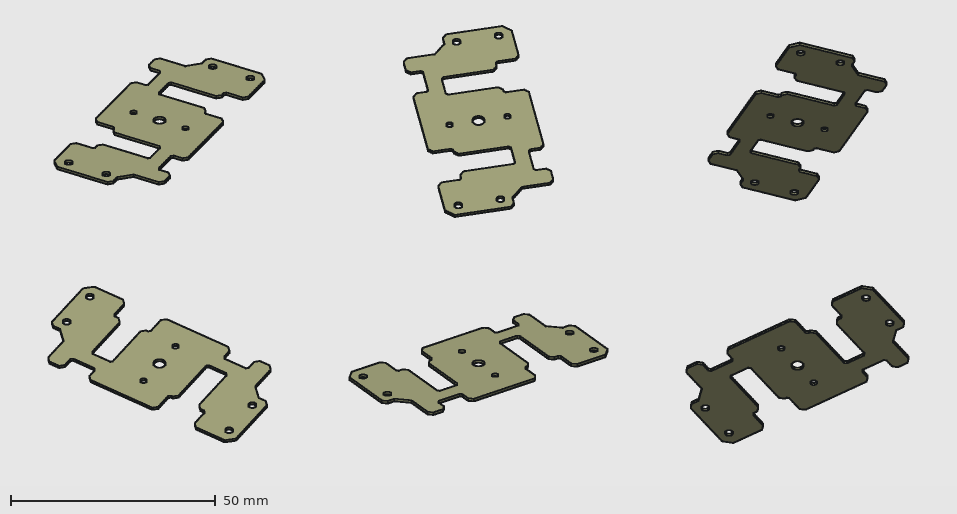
import cadquery as cq
import math

width = 28.0
length = 60.0
thickness = 0.8
half_width = width / 2
half_length = length / 2

outer_cut = 1.0
inner_cut = 0.5
end_cut = 2.0

panel_left_top = 12.0
panel_right_top = 8.0
panel_raised_top = 10.0
step_x = 8.0

neck_left = -10.0
neck_right = -6.0

tab_slot_edge = 16.0
tab_right_bottom = 18.6
ear_bottom = 19.15
ear_top = 24.0
head_left = -3.0
slope = 3.0

center_hole_diameter = 3.0
pin_hole_diameter = 1.6
pin_hole_x = 7.2
tab_hole_diameter = 2.0
tab_hole_y = 27.0
tab_hole_spacing = 10.5

half_corners = [
    (half_width, panel_right_top, outer_cut),
    (step_x, panel_right_top, inner_cut),
    (step_x, panel_raised_top, outer_cut),
    (neck_right, panel_raised_top, inner_cut),
    (neck_right, tab_slot_edge, inner_cut),
    (step_x, tab_slot_edge, outer_cut),
    (step_x, tab_right_bottom, inner_cut),
    (half_width, tab_right_bottom, outer_cut),
    (half_width, half_length, end_cut),
    (head_left, half_length, outer_cut),
    (head_left, ear_top + slope, 0),
    (head_left - slope, ear_top, 0),
    (-half_width, ear_top, outer_cut),
    (-half_width, ear_bottom, outer_cut),
    (neck_left, ear_bottom, inner_cut),
    (neck_left, panel_left_top, inner_cut),
    (-half_width, panel_left_top, outer_cut),
]


def point_towards(start, target, distance):
    """Return the point at a distance from start on the line to target."""
    dx = target[0] - start[0]
    dy = target[1] - start[1]
    share = distance / math.hypot(dx, dy)
    return (start[0] + dx * share, start[1] + dy * share)


def cut_corners(corners):
    """Replace each corner that has a cut by the two ends of that cut."""
    points = []
    for index, corner in enumerate(corners):
        cut = corner[2]
        if cut == 0:
            points.append(corner[:2])
            continue
        previous_corner = corners[index - 1]
        next_corner = corners[(index + 1) % len(corners)]
        points.append(point_towards(corner, previous_corner, cut))
        points.append(point_towards(corner, next_corner, cut))
    return points


def make_plate():
    turned_corners = [(-x, -y, cut) for x, y, cut in half_corners]
    outline = cut_corners(half_corners + turned_corners)
    return cq.Workplane("XY").polyline(outline).close().extrude(thickness)


def drill(plate, centers, diameter):
    cutters = cq.Workplane("XY").pushPoints(centers).circle(diameter / 2).extrude(thickness)
    return plate.cut(cutters)


tab_holes = [
    (0, tab_hole_y),
    (tab_hole_spacing, tab_hole_y),
    (0, -tab_hole_y),
    (-tab_hole_spacing, -tab_hole_y),
]

result = make_plate()
result = drill(result, [(0, 0)], center_hole_diameter)
result = drill(result, [(-pin_hole_x, 0), (pin_hole_x, 0)], pin_hole_diameter)
result = drill(result, tab_holes, tab_hole_diameter)